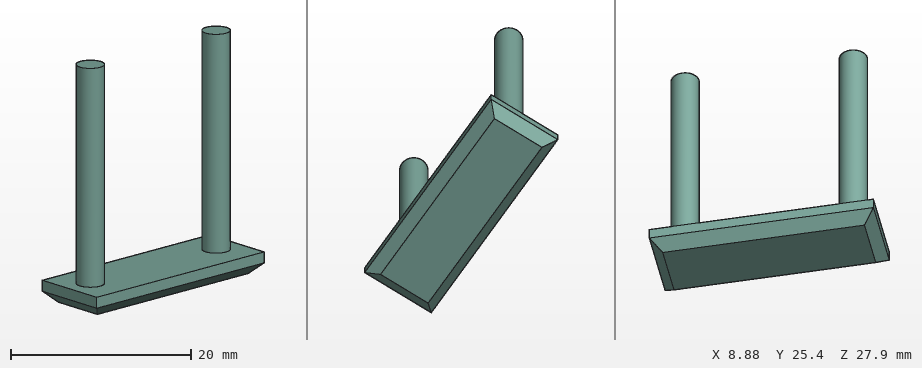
import cadquery as cq

plate_width = 8.88
plate_length = 25.4
total_height = 27.95
plate_thickness = 2.55
bevel = plate_thickness / 2

pin_diameter = 3.19
pin_spacing = 19.05
pin_height = total_height - plate_thickness


def make_plate():
    """Rectangular plate resting on Z = 0, narrowed towards its underside."""
    plate = cq.Workplane("XY").box(plate_width, plate_length, plate_thickness, centered=(True, True, False))
    return plate.faces("<Z").edges().chamfer(bevel)


def make_pins():
    """Two pins along the plate length, placed evenly about its centre."""
    return (
        cq.Workplane("XY", origin=(0, 0, plate_thickness))
        .pushPoints([(0, side * pin_spacing / 2) for side in (-1, 1)])
        .circle(pin_diameter / 2)
        .extrude(pin_height)
    )


result = make_plate().union(make_pins())